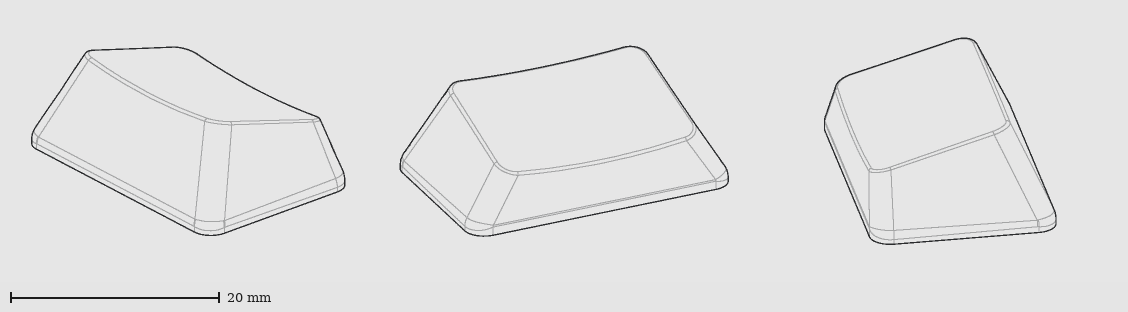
import cadquery as cq
import math

length = 27.7
depth = 18.16
half_depth = depth / 2

skirt_height = 0.97
skirt_blend_radius = 1.65
seam_tolerance = 0.03

front_wall_lean = 24.6
back_wall_lean = 6.0

corner_radius = 2.02
top_edge_radius = 0.33
rim_low = 4.98

top_tilt = 16.0
dish_radius = 80.3
dish_center_height = 7.75

crown_height = 8.85
crown_length = 20.5
crown_corner_radius = 1.85


def crown_y(wall_side, lean):
    """Y where the front (-1) or back (+1) wall meets the tilted crown plane."""
    lean_slope = math.tan(math.radians(lean))
    tilt_slope = math.tan(math.radians(top_tilt))
    rise = crown_height - skirt_height
    return (wall_side * half_depth - wall_side * lean_slope * rise) / (1 - wall_side * lean_slope * tilt_slope)


def make_walls():
    """Upright skirt carrying walls lofted to a tilted crown, blended at the seam."""
    crown_front = crown_y(-1, front_wall_lean)
    crown_back = crown_y(1, back_wall_lean)
    crown_depth = (crown_back - crown_front) / math.cos(math.radians(top_tilt))
    crown_center_y = (crown_front + crown_back) / 2
    crown_center_z = crown_height - crown_center_y * math.tan(math.radians(top_tilt))

    foot = cq.Sketch().rect(length, depth).vertices().fillet(corner_radius)
    crown = cq.Sketch().rect(crown_length, crown_depth).vertices().fillet(crown_corner_radius)
    crown_location = cq.Location(
        cq.Vector(0, crown_center_y, crown_center_z - skirt_height), cq.Vector(1, 0, 0), -top_tilt
    )
    skirt = cq.Workplane("XY").placeSketch(foot).extrude(skirt_height)
    walls = (
        cq.Workplane("XY", origin=(0, 0, skirt_height))
        .placeSketch(foot, crown.moved(crown_location))
        .loft(ruled=True)
    )
    body = skirt.union(walls)

    seam = cq.selectors.BoxSelector(
        (-length, -depth, skirt_height - seam_tolerance),
        (length, depth, skirt_height + seam_tolerance),
    )
    return body.edges(seam).fillet(skirt_blend_radius)


def make_dish_cutter():
    """Large cylinder lying along the tilted top, whose underside shapes the dish."""
    axis_direction = cq.Vector(0, -math.cos(math.radians(top_tilt)), math.sin(math.radians(top_tilt)))
    dish_plane = cq.Plane(origin=(0, 0, dish_center_height), xDir=(1, 0, 0), normal=axis_direction.toTuple())
    return cq.Workplane(dish_plane).center(0, dish_radius).circle(dish_radius).extrude(length, both=True)


def round_top_edge(body):
    """Round the rim between the dish and the walls."""
    above_skirt = cq.selectors.BoxSelector((-length, -depth, rim_low), (length, depth, length))
    return body.edges(above_skirt).fillet(top_edge_radius)


result = round_top_edge(make_walls().cut(make_dish_cutter()))